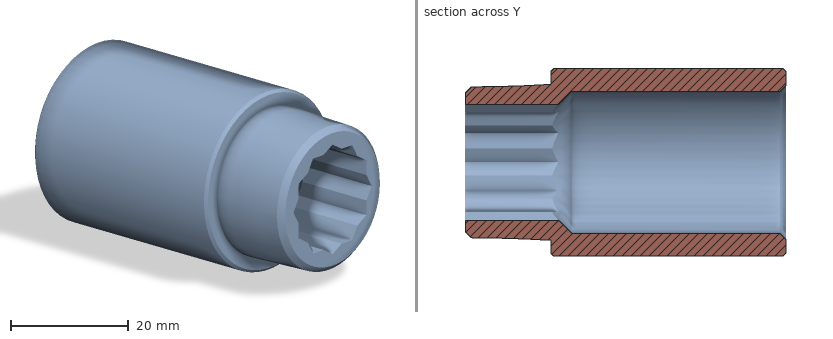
import cadquery as cq
import math

BODY_DIAMETER = 32.0
BODY_LENGTH = 40.0
BODY_CHAMFER = 0.5
TOTAL_LENGTH = 54.5
NOSE_ROOT_DIAMETER = 26.6
NOSE_TAPER = 1 / 16
NOSE_CHAMFER = 1.0
BORE_DIAMETER = 24.12
BORE_MOUTH_CHAMFER = 1.0
BORE_CONE_ANGLE = 45.0
SOCKET_ACROSS_FLATS = 17.0
HEXAGON_SIDES = 6
SOCKET_HEXAGON_TURNS = (0.0, 30.0)

body_radius = BODY_DIAMETER / 2
nose_root_radius = NOSE_ROOT_DIAMETER / 2
nose_chamfer_start = TOTAL_LENGTH - NOSE_CHAMFER
nose_taper_length = nose_chamfer_start - BODY_LENGTH
nose_tip_radius = nose_root_radius - nose_taper_length * NOSE_TAPER / 2
bore_radius = BORE_DIAMETER / 2
socket_apothem = SOCKET_ACROSS_FLATS / 2
socket_point_diameter = SOCKET_ACROSS_FLATS / math.cos(math.pi / HEXAGON_SIDES)

cone_length = (bore_radius - socket_apothem) / math.tan(math.radians(BORE_CONE_ANGLE))
bore_depth = BODY_LENGTH - cone_length


def revolve_about_x(outline):
    """Turn a closed (x, radius) outline about the X axis."""
    return cq.Workplane("XY").polyline(outline).close().revolve(360, (0, 0, 0), (1, 0, 0))


def outer_form():
    """Chamfered cylindrical body with a tapered, chamfered nose."""
    return revolve_about_x([
        (0, 0),
        (0, body_radius - BODY_CHAMFER),
        (BODY_CHAMFER, body_radius),
        (BODY_LENGTH - BODY_CHAMFER, body_radius),
        (BODY_LENGTH, body_radius - BODY_CHAMFER),
        (BODY_LENGTH, nose_root_radius),
        (nose_chamfer_start, nose_tip_radius),
        (TOTAL_LENGTH, nose_tip_radius - NOSE_CHAMFER),
        (TOTAL_LENGTH, 0),
    ])


def bore():
    """Round bore with a chamfered mouth and a conical end."""
    return revolve_about_x([
        (0, 0),
        (0, bore_radius + BORE_MOUTH_CHAMFER),
        (BORE_MOUTH_CHAMFER, bore_radius),
        (bore_depth, bore_radius),
        (BODY_LENGTH, socket_apothem),
        (BODY_LENGTH, 0),
    ])


def socket_hexagon(turn):
    """Hexagonal prism along the whole axis, turned about X by the given degrees."""
    prism = cq.Workplane("YZ").polygon(HEXAGON_SIDES, socket_point_diameter).extrude(TOTAL_LENGTH)
    return prism.rotate((0, 0, 0), (1, 0, 0), turn)


result = outer_form().cut(bore())
for hexagon_turn in SOCKET_HEXAGON_TURNS:
    result = result.cut(socket_hexagon(hexagon_turn))